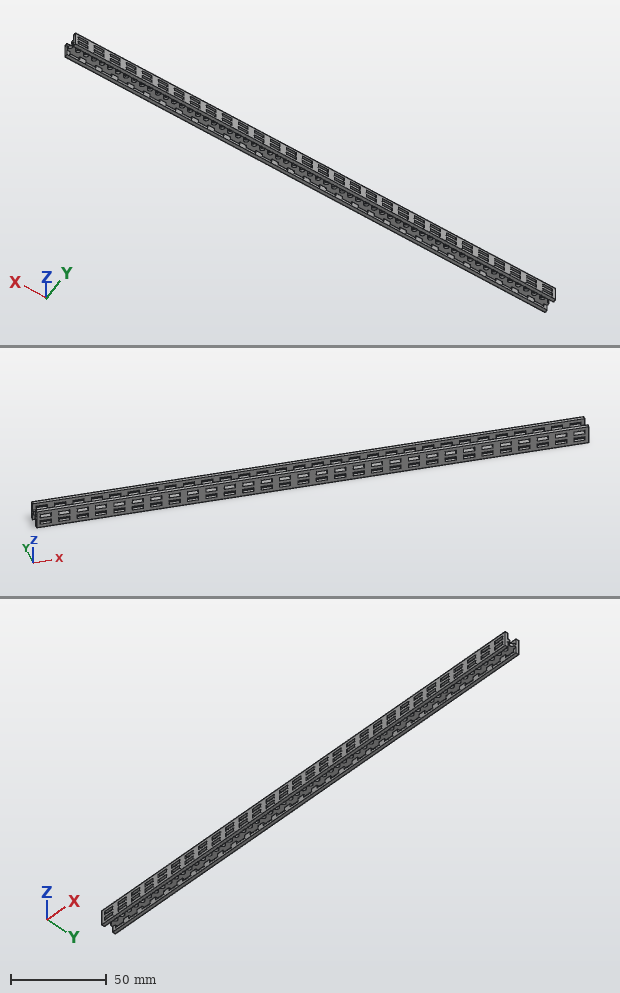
import cadquery as cq

LENGTH = 300.0
WIDTH = 10.0
HEIGHT = 10.0

FLANGE_THICKNESS = 2.0
WEB_THICKNESS = 2.0

SLOT_LENGTH = 6.0
SLOT_HEIGHT = 2.0
SLOT_PITCH = 10.0
SLOT_ROW_SPACING = WEB_THICKNESS + SLOT_HEIGHT

HOLE_DIAMETER = 3.0
HOLE_PITCH = 5.0


def rail_body():
    """Two upright flanges joined by a horizontal web at mid height."""
    flange_offset = (WIDTH - FLANGE_THICKNESS) / 2
    body = cq.Workplane("XY").box(LENGTH, WIDTH - FLANGE_THICKNESS, WEB_THICKNESS)
    for side in (-1, 1):
        flange = cq.Workplane("XY").box(LENGTH, FLANGE_THICKNESS, HEIGHT)
        body = body.union(flange.translate((0, side * flange_offset, 0)))
    return body


def flange_slots():
    """Bars spanning the full width, one for each pair of facing slots."""
    slot_count = round(LENGTH / SLOT_PITCH)
    return (
        cq.Workplane("XZ")
        .rarray(SLOT_PITCH, SLOT_ROW_SPACING, slot_count, 2)
        .rect(SLOT_LENGTH, SLOT_HEIGHT)
        .extrude(WIDTH / 2, both=True)
    )


def web_holes():
    """Vertical pins, one for each web hole, from one rail end to the other."""
    hole_count = round(LENGTH / HOLE_PITCH) + 1
    return (
        cq.Workplane("XY")
        .rarray(HOLE_PITCH, HOLE_PITCH, hole_count, 1)
        .circle(HOLE_DIAMETER / 2)
        .extrude(WEB_THICKNESS, both=True)
    )


result = rail_body().cut(flange_slots()).cut(web_holes())